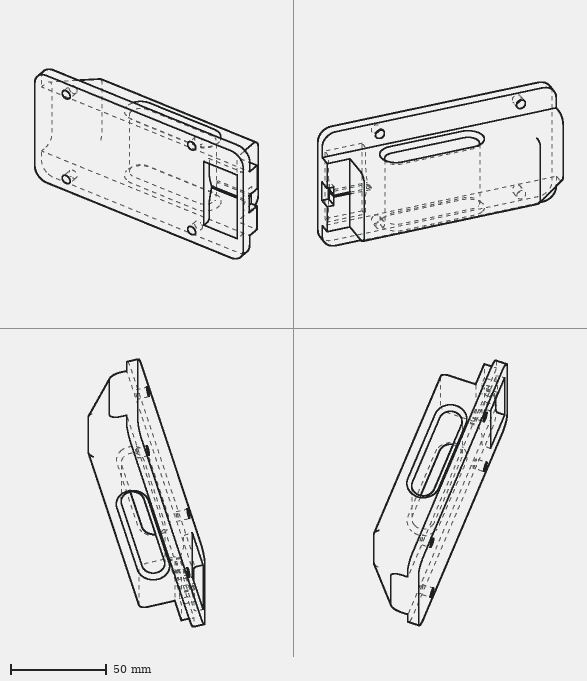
import cadquery as cq
import math

length = 133.0
plate_height = 69.4
plate_thickness = 6.1
plate_corner_radius = 7.7

housing_depth = 32.6
housing_height = 41.5
housing_end = 120.1
step_depth = 12.9
nose_depth = 15.5
nose_run = 20.1
housing_edge_radius = 4.8

hole_diameter = 5.0
hole_first_x = 20.1
hole_spacing_x = 80.0
hole_spacing_z = 54.9

slot_start_x = 49.1
slot_end_x = 102.0
slot_center_y = 18.0
slot_width = 12.1
slot_chamfer = 2.5

window_start_x = 108.0
window_end_x = 129.1
window_half_height = 20.6
window_depth = 5.0
window_floor_radius = 2.0
valley_half_width = 8.8
valley_angle = math.radians(17)
valley_blend_radius = 11.2
slit_half_width = 0.5
end_notch_half_width = 5.6
end_notch_start_y = 5.7


def make_plate():
    return (
        cq.Workplane("XY")
        .box(length, plate_thickness, plate_height, centered=(False, False, True))
        .edges("|Y")
        .fillet(plate_corner_radius)
    )


def make_housing():
    """Sloped-nose block with rounded long edges, plus a low step at its far end."""
    block = (
        cq.Workplane("XY")
        .moveTo(0, 0)
        .lineTo(0, nose_depth)
        .lineTo(nose_run, housing_depth)
        .lineTo(housing_end, housing_depth)
        .lineTo(housing_end, 0)
        .close()
        .extrude(housing_height / 2, both=True)
    )
    nose_slope = (housing_depth - nose_depth) / nose_run
    mid_x = nose_run / 2
    mid_y = nose_depth + nose_slope * mid_x
    for side in (-1, 1):
        z = side * housing_height / 2
        nose_edge = cq.selectors.NearestToPointSelector((mid_x, mid_y, z))
        back_edge = cq.selectors.NearestToPointSelector(((nose_run + housing_end) / 2, housing_depth, z))
        block = block.edges(cq.selectors.SumSelector(nose_edge, back_edge)).fillet(housing_edge_radius)
    step_height = step_depth - plate_thickness
    step = (
        cq.Workplane("XY")
        .box(length - nose_run, step_height, housing_height, centered=(False, False, True))
        .translate((nose_run, plate_thickness, 0))
    )
    return block.union(step)


def make_screw_holes():
    return (
        cq.Workplane("XZ")
        .center(hole_first_x + hole_spacing_x / 2, 0)
        .rect(hole_spacing_x, hole_spacing_z, forConstruction=True)
        .vertices()
        .circle(hole_diameter / 2)
        .extrude(-plate_thickness)
    )


def make_slot():
    slot_center_x = (slot_start_x + slot_end_x) / 2
    slot_length = slot_end_x - slot_start_x
    cutter = (
        cq.Workplane("XY")
        .center(slot_center_x, slot_center_y)
        .slot2D(slot_length, slot_width)
        .extrude(housing_height / 2, both=True)
    )
    flare = (
        cq.Workplane("XY", origin=(0, 0, housing_height / 2))
        .center(slot_center_x, slot_center_y)
        .slot2D(slot_length + 2 * slot_chamfer, slot_width + 2 * slot_chamfer)
        .extrude(-slot_chamfer, taper=45)
    )
    return cutter.union(flare).union(flare.mirror("XY"))


def make_window():
    """Window with a valley floor, slit along its deepest line."""
    r = window_floor_radius
    corner = r * (1 - math.sqrt(0.5))
    blend_z = valley_half_width - valley_blend_radius * math.sin(valley_angle)
    blend_y = window_depth + valley_blend_radius * (1 - math.cos(valley_angle))
    half_angle = valley_angle / 2
    blend_mid_z = valley_half_width - valley_blend_radius * math.sin(half_angle)
    blend_mid_y = window_depth + valley_blend_radius * (1 - math.cos(half_angle))
    valley_depth = blend_y + (blend_z - slit_half_width) * math.tan(valley_angle)
    half_profile = (
        cq.Workplane("YZ", origin=(window_start_x, 0, 0))
        .moveTo(0, 0)
        .lineTo(0, window_half_height)
        .lineTo(window_depth - r, window_half_height)
        .threePointArc(
            (window_depth - corner, window_half_height - corner),
            (window_depth, window_half_height - r),
        )
        .lineTo(window_depth, valley_half_width)
        .threePointArc((blend_mid_y, blend_mid_z), (blend_y, blend_z))
        .lineTo(valley_depth, slit_half_width)
        .lineTo(step_depth, slit_half_width)
        .lineTo(step_depth, 0)
        .close()
    )
    half = half_profile.extrude(window_end_x - window_start_x)
    return half.union(half.mirror("XY"))


def make_end_notch():
    """Opening in the step, from the end of the window out through the end face."""
    notch_length = length - window_end_x
    notch_depth = step_depth - end_notch_start_y
    return (
        cq.Workplane("XY")
        .box(notch_length, notch_depth, 2 * end_notch_half_width, centered=(False, False, True))
        .translate((window_end_x, end_notch_start_y, 0))
    )


result = (
    make_plate()
    .union(make_housing())
    .cut(make_screw_holes())
    .cut(make_slot())
    .cut(make_window())
    .cut(make_end_notch())
)